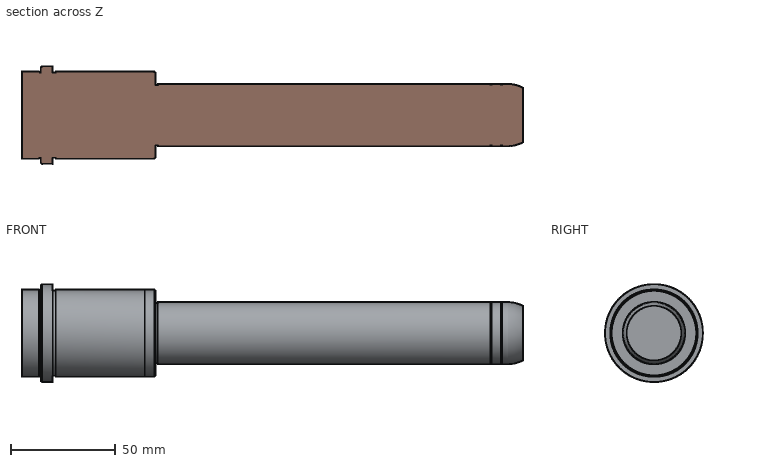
import cadquery as cq

LENGTH = 240.0

HEAD_DIAMETER = 42.0
HEAD_LENGTH = 64.0
HEAD_CHAMFER = 0.7
PILOT_LENGTH = 5.3
PILOT_STEP = 0.05

COLLAR_DIAMETER = 47.0
COLLAR_START = 9.0
COLLAR_WIDTH = 5.8
COLLAR_CHAMFER = 0.7
FRONT_RELIEF_WIDTH = 0.7
BACK_RELIEF_WIDTH = 1.5
RELIEF_DEPTH = 0.5

SHANK_DIAMETER = 30.0
UNDERCUT_WIDTH = 1.0
UNDERCUT_DEPTH = 0.5
RING_GROOVE_RADIUS = 0.35
FIRST_RING_GROOVE = 224.6
RING_GROOVE_SPACING = 5.0
RING_GROOVE_COUNT = 2
LEAD_LENGTH = 7.2
TIP_DIAMETER = 26.2

head_radius = HEAD_DIAMETER / 2
collar_radius = COLLAR_DIAMETER / 2
shank_radius = SHANK_DIAMETER / 2
tip_radius = TIP_DIAMETER / 2
collar_end = COLLAR_START + COLLAR_WIDTH


def revolve_about_axis(profile):
    return profile.revolve(360, (0, 0, 0), (1, 0, 0))


def make_head():
    return (
        cq.Workplane("YZ")
        .circle(head_radius)
        .extrude(HEAD_LENGTH - PILOT_LENGTH)
        .faces(">X")
        .workplane()
        .circle(head_radius - PILOT_STEP)
        .extrude(PILOT_LENGTH)
        .faces(">X")
        .chamfer(HEAD_CHAMFER)
    )


def make_collar():
    return (
        cq.Workplane("YZ", origin=(COLLAR_START, 0, 0))
        .circle(collar_radius)
        .extrude(COLLAR_WIDTH)
        .faces("<X")
        .chamfer(COLLAR_CHAMFER)
    )


def make_shank():
    """Shank whose lead-in arc is tangent to the cylinder."""
    profile = (
        cq.Workplane("XY")
        .moveTo(HEAD_LENGTH, 0)
        .lineTo(HEAD_LENGTH, shank_radius)
        .lineTo(LENGTH - LEAD_LENGTH, shank_radius)
        .tangentArcPoint((LENGTH, tip_radius), relative=False)
        .lineTo(LENGTH, 0)
        .close()
    )
    return revolve_about_axis(profile)


def square_groove(start, width, surface_radius, depth):
    return (
        cq.Workplane("YZ", origin=(start, 0, 0))
        .circle(surface_radius + depth)
        .circle(surface_radius - depth)
        .extrude(width)
    )


def bevelled_groove(start, width, surface_radius, depth):
    """Groove with a 45 degree flank on its low-X side and a square wall on the other."""
    end = start + width
    profile = (
        cq.Workplane("XY")
        .moveTo(start, surface_radius)
        .lineTo(start + depth, surface_radius - depth)
        .lineTo(end, surface_radius - depth)
        .lineTo(end, surface_radius)
        .close()
    )
    return revolve_about_axis(profile)


def ring_groove(position):
    profile = cq.Workplane("XY").moveTo(position, shank_radius).circle(RING_GROOVE_RADIUS)
    return revolve_about_axis(profile)


pin = make_head().union(make_collar()).union(make_shank())

front_relief_start = COLLAR_START - FRONT_RELIEF_WIDTH
pin = pin.cut(bevelled_groove(front_relief_start, FRONT_RELIEF_WIDTH, head_radius, RELIEF_DEPTH))
pin = pin.cut(square_groove(collar_end, BACK_RELIEF_WIDTH, head_radius, RELIEF_DEPTH))
pin = pin.cut(square_groove(HEAD_LENGTH, UNDERCUT_WIDTH, shank_radius, UNDERCUT_DEPTH))

for index in range(RING_GROOVE_COUNT):
    pin = pin.cut(ring_groove(FIRST_RING_GROOVE + index * RING_GROOVE_SPACING))

result = pin.translate((-LENGTH / 2, 0, 0))